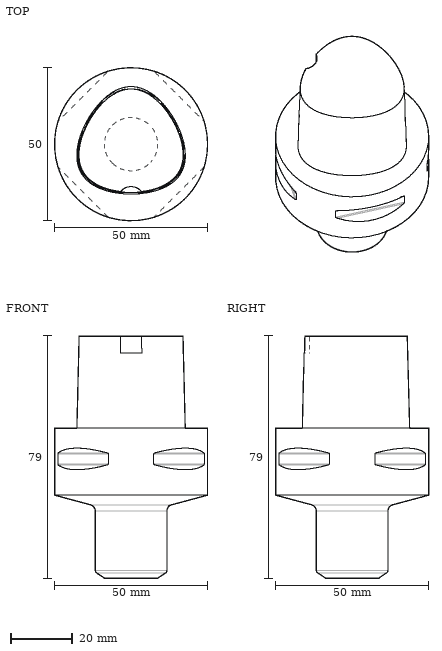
import cadquery as cq
import math

total_height = 79.0
flange_top = 49.0
flange_bottom = 27.1

flange_radius = 50.0 / 2
spigot_radius = 23.5 / 2
cone_angle = 15.0
neck_fillet = 2.0
tip_radius = 8.7
tip_chamfer_height = 2.05
tip_fillet = 1.0

base_mean_radius = 17.5
base_lobe = 1.3
top_mean_radius = 16.8
top_lobe = 1.2
outline_points = 36

notch_radius = 4.4
notch_center_y = -18.25
notch_depth = 5.5

groove_height = 38.95
groove_floor_distance = 22.1
groove_floor_width = 3.7
groove_corner_fillet = 0.5
groove_flank_angle = 30.0
groove_angles = (45, 135, 225, 315)

cut_margin = 1.6
selection_margin = 0.1


def make_body():
    """Flange with a conical underside running into the chamfered spigot."""
    cone_drop = (flange_radius - spigot_radius) * math.tan(math.radians(cone_angle))
    neck_height = flange_bottom - cone_drop
    body = (
        cq.Workplane("XZ")
        .moveTo(0, 0)
        .lineTo(tip_radius, 0)
        .lineTo(spigot_radius, tip_chamfer_height)
        .lineTo(spigot_radius, neck_height)
        .lineTo(flange_radius, flange_bottom)
        .lineTo(flange_radius, flange_top)
        .lineTo(0, flange_top)
        .close()
        .revolve(360, (0, 0, 0), (0, 1, 0))
    )
    body = round_edge_at(body, neck_height, neck_fillet)
    return round_edge_at(body, tip_chamfer_height, tip_fillet)


def round_edge_at(body, height, radius):
    """Fillet the circular spigot edge at the given height."""
    reach = spigot_radius + selection_margin
    selector = cq.selectors.BoxSelector(
        (-reach, -reach, height - selection_margin), (reach, reach, height + selection_margin)
    )
    return body.edges("%CIRCLE").edges(selector).fillet(radius)


def lobed_outline(mean_radius, lobe):
    """Points of a three-lobed closed curve with one lobe pointing to +Y."""
    points = []
    for step in range(outline_points):
        angle = 2 * math.pi * step / outline_points
        x = mean_radius * math.sin(angle) - lobe * math.sin(2 * angle)
        y = mean_radius * math.cos(angle) + lobe * math.cos(2 * angle)
        points.append((x, y))
    return points


def make_shank():
    """Lobed taper standing on the flange, with the notch cut at its top."""
    shank = (
        cq.Workplane("XY", origin=(0, 0, flange_top))
        .spline(lobed_outline(base_mean_radius, base_lobe), periodic=True)
        .close()
        .workplane(offset=total_height - flange_top)
        .spline(lobed_outline(top_mean_radius, top_lobe), periodic=True)
        .close()
        .loft(ruled=True)
    )
    notch = (
        cq.Workplane("XY", origin=(0, notch_center_y, total_height - notch_depth))
        .circle(notch_radius)
        .extrude(notch_depth + cut_margin)
    )
    return shank.cut(notch)


def make_groove(angle):
    """Straight trapezoidal groove cutter with rounded floor corners, widening outward."""
    outer = flange_radius + cut_margin
    half_floor = groove_floor_width / 2
    flank_rise = (outer - groove_floor_distance) * math.tan(math.radians(groove_flank_angle))
    half_mouth = half_floor + flank_rise
    return (
        cq.Workplane("XZ")
        .moveTo(groove_floor_distance, groove_height - half_floor)
        .lineTo(outer, groove_height - half_mouth)
        .lineTo(outer, groove_height + half_mouth)
        .lineTo(groove_floor_distance, groove_height + half_floor)
        .close()
        .extrude(flange_radius, both=True)
        .faces("<X")
        .edges("|Y")
        .fillet(groove_corner_fillet)
        .rotate((0, 0, 0), (0, 0, 1), angle)
    )


result = make_body().union(make_shank())
for groove_angle in groove_angles:
    result = result.cut(make_groove(groove_angle))